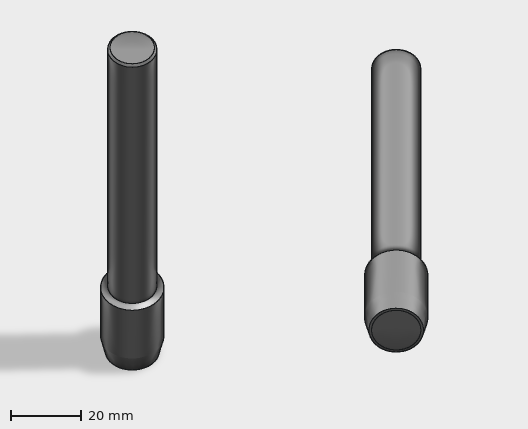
import cadquery as cq
import math

overall_height = 125.0
rod_diameter = 14.0
rod_chamfer = 0.7

sleeve_diameter = 18.0
sleeve_wall_top = 26.0
sleeve_top_slope = 20.0
taper_height = 6.0
taper_end_diameter = 15.5

rod_radius = rod_diameter / 2
sleeve_radius = sleeve_diameter / 2
sleeve_thickness = sleeve_radius - rod_radius
sleeve_top = sleeve_wall_top + sleeve_thickness * math.tan(math.radians(sleeve_top_slope))


def make_rod():
    """Straight round rod running the full height, chamfered at the top."""
    blank = cq.Workplane("XY").circle(rod_radius).extrude(overall_height)
    return blank.faces(">Z").chamfer(rod_chamfer)


def make_sleeve():
    """Sleeve bored through for the rod, with a tapered lower end and a gently sloped conical top."""
    half_section = [
        (rod_radius, 0),
        (taper_end_diameter / 2, 0),
        (sleeve_radius, taper_height),
        (sleeve_radius, sleeve_wall_top),
        (rod_radius, sleeve_top),
    ]
    return cq.Workplane("XZ").polyline(half_section).close().revolve(360, (0, 0), (0, 1))


rod = make_rod()
sleeve = make_sleeve()

result = cq.Compound.makeCompound([rod.val(), sleeve.val()])